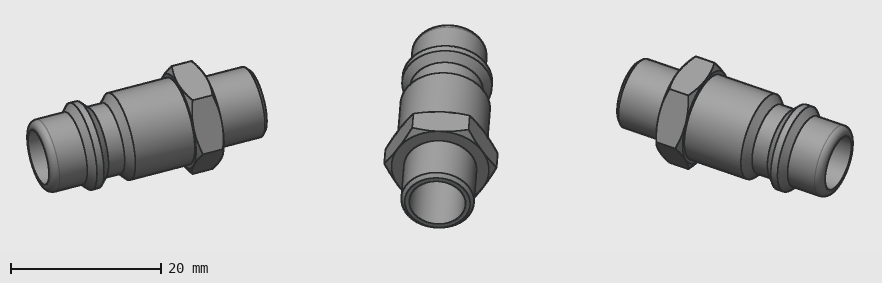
import cadquery as cq
import math

nose_length = 5.0
collar_front_cone = 1.0
collar_land = 1.0
cone_depth = 1.1
groove_width = 2.3
body_end = 20.0
hex_width = 4.0
thread_length = 7.0

nose_radius = 5.0
nose_rounding = 1.0
body_radius = 6.0
groove_radius = body_radius - cone_depth
thread_radius = 9.728 / 2
thread_chamfer = 0.5
bore_radius = 3.75

across_flats = 13.0
across_corners = across_flats / math.cos(math.pi / 6)
hex_chamfer_angle = math.radians(30)
hex_face_radius = across_flats / 2

collar_start = nose_length + collar_front_cone
collar_end = collar_start + collar_land
groove_start = collar_end + cone_depth
groove_end = groove_start + groove_width
body_start = groove_end + cone_depth
hex_end = body_end + hex_width
total_length = hex_end + thread_length


def revolve_about_axis(profile):
    """Turn a closed (radius, axial) profile around the Y axis."""
    return profile.close().revolve(360, (0, 0, 0), (0, 1, 0))


def turned_body():
    """Solid turned shape: nose, collar, latch groove, body and thread."""
    arc_offset = nose_rounding * math.sin(math.pi / 4)
    arc_middle = (
        nose_radius - nose_rounding + arc_offset,
        nose_rounding - arc_offset,
    )
    profile = (
        cq.Workplane("XY")
        .lineTo(nose_radius - nose_rounding, 0)
        .threePointArc(arc_middle, (nose_radius, nose_rounding))
        .lineTo(nose_radius, nose_length)
        .lineTo(body_radius, collar_start)
        .lineTo(body_radius, collar_end)
        .lineTo(groove_radius, groove_start)
        .lineTo(groove_radius, groove_end)
        .lineTo(body_radius, body_start)
        .lineTo(body_radius, body_end)
        .lineTo(thread_radius, body_end)
        .lineTo(thread_radius, total_length - thread_chamfer)
        .lineTo(thread_radius - thread_chamfer, total_length)
        .lineTo(0, total_length)
    )
    return revolve_about_axis(profile)


def hexagon():
    """Hexagon with two corners on the X axis and both faces chamfered by a cone."""
    prism = (
        cq.Workplane("XZ", origin=(0, body_end, 0))
        .polygon(6, across_corners)
        .extrude(-hex_width)
    )
    corner_radius = across_corners / 2
    chamfer_depth = (corner_radius - hex_face_radius) * math.tan(hex_chamfer_angle)
    profile = (
        cq.Workplane("XY")
        .moveTo(0, body_end)
        .lineTo(hex_face_radius, body_end)
        .lineTo(corner_radius, body_end + chamfer_depth)
        .lineTo(corner_radius, hex_end - chamfer_depth)
        .lineTo(hex_face_radius, hex_end)
        .lineTo(0, hex_end)
    )
    return prism.intersect(revolve_about_axis(profile))


def bore():
    """Straight flow passage through the whole length."""
    return cq.Workplane("XZ").circle(bore_radius).extrude(-total_length)


result = turned_body().union(hexagon()).cut(bore())